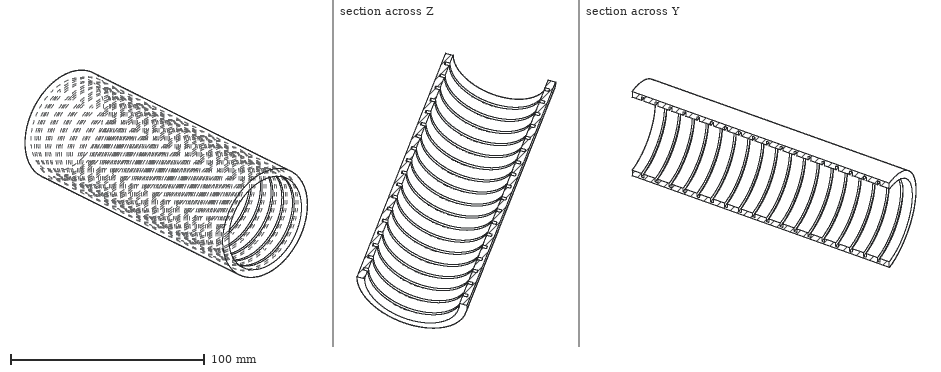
import cadquery as cq

length = 150.0
outer_diameter = 60.0
bore_diameter = 51.5
groove_diameter = 56.5
groove_width = 1.4
groove_pitch = 8.1
groove_count = 18


def cylinder_along_x(start, depth, diameter):
    return cq.Workplane("YZ", origin=(start, 0, 0)).circle(diameter / 2).extrude(depth)


left_end = -length / 2
result = cylinder_along_x(left_end, length, outer_diameter)
result = result.cut(cylinder_along_x(left_end, length, bore_diameter))

groove_row_length = (groove_count - 1) * groove_pitch + groove_width
for index in range(groove_count):
    near_wall = -groove_row_length / 2 + index * groove_pitch
    result = result.cut(cylinder_along_x(near_wall, groove_width, groove_diameter))